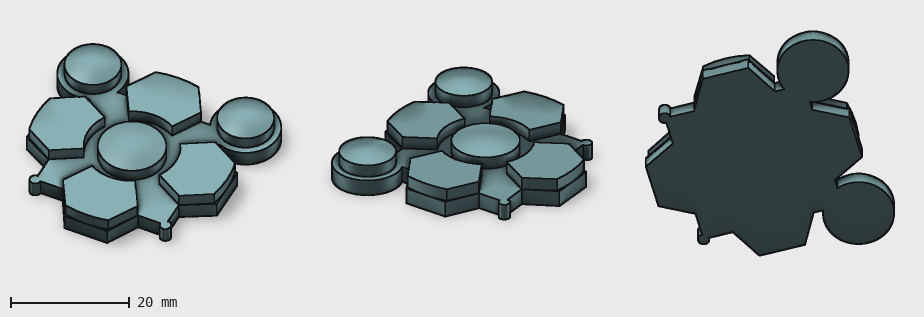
import cadquery as cq
import math

BASE_HEIGHT = 2.9
KEY_TOP = 5.15
DOME_TOP = 6.05

OVERALL_WIDTH = 40.7
PLATE_HALF_WIDTH = 12.2
LOBE_REACH = 17.85
LOBE_HALF_WIDTH = 7.1
LOBE_END_HALF_WIDTH = 4.0
CORNER_DISC_RADIUS = 6.03
CORNER_DISC_OFFSET = OVERALL_WIDTH / 2 - CORNER_DISC_RADIUS
PEG_RADIUS = 0.98

KEY_INNER_RADIUS = 8.2
KEY_HALF_WIDTH = 7.0
KEY_SIDE_ANGLE = math.radians(60)

CENTER_BUTTON_RADIUS = 5.8
CORNER_BUTTON_RADIUS = 4.8

QUARTER_TURNS = (0, 90, 180, 270)


def cylinder(x, y, radius, height):
    return cq.Workplane("XY").center(x, y).circle(radius).extrude(height)


def lobe():
    """Tapered extension of the base plate on its +Y edge, drawn from the plate center."""
    return (
        cq.Workplane("XY")
        .moveTo(0, 0)
        .lineTo(LOBE_HALF_WIDTH, PLATE_HALF_WIDTH)
        .lineTo(LOBE_END_HALF_WIDTH, LOBE_REACH)
        .lineTo(-LOBE_END_HALF_WIDTH, LOBE_REACH)
        .lineTo(-LOBE_HALF_WIDTH, PLATE_HALF_WIDTH)
        .close()
        .extrude(BASE_HEIGHT)
    )


def arrow_key():
    """Six-sided key on the +Y lobe, its inner and outer ends curved about the center button."""
    half_length = KEY_HALF_WIDTH * math.tan(KEY_SIDE_ANGLE)
    rhombus = (
        cq.Workplane("XY")
        .moveTo(KEY_HALF_WIDTH, PLATE_HALF_WIDTH)
        .lineTo(0, PLATE_HALF_WIDTH + half_length)
        .lineTo(-KEY_HALF_WIDTH, PLATE_HALF_WIDTH)
        .lineTo(0, PLATE_HALF_WIDTH - half_length)
        .close()
        .extrude(KEY_TOP)
    )
    ring = cq.Workplane("XY").circle(LOBE_REACH).circle(KEY_INNER_RADIUS).extrude(KEY_TOP)
    return rhombus.intersect(ring)


def domed_button(x, y, radius):
    """Round button with a shallow spherical cap on top."""
    cap_rise = DOME_TOP - KEY_TOP
    sphere_radius = (radius**2 + cap_rise**2) / (2 * cap_rise)
    sphere = cq.Workplane("XY").sphere(sphere_radius).translate((x, y, DOME_TOP - sphere_radius))
    return cylinder(x, y, radius, DOME_TOP).intersect(sphere)


plate_width = 2 * PLATE_HALF_WIDTH
result = cq.Workplane("XY").rect(plate_width, plate_width).extrude(BASE_HEIGHT)
for side in (-1, 1):
    disc = cylinder(side * CORNER_DISC_OFFSET, CORNER_DISC_OFFSET, CORNER_DISC_RADIUS, BASE_HEIGHT)
    peg = cylinder(side * PLATE_HALF_WIDTH, -PLATE_HALF_WIDTH, PEG_RADIUS, BASE_HEIGHT)
    button = domed_button(side * CORNER_DISC_OFFSET, CORNER_DISC_OFFSET, CORNER_BUTTON_RADIUS)
    result = result.union(disc).union(peg).union(button)

lobe_with_key = lobe().union(arrow_key())
for angle in QUARTER_TURNS:
    result = result.union(lobe_with_key.rotate((0, 0, 0), (0, 0, 1), angle))

result = result.union(domed_button(0, 0, CENTER_BUTTON_RADIUS))